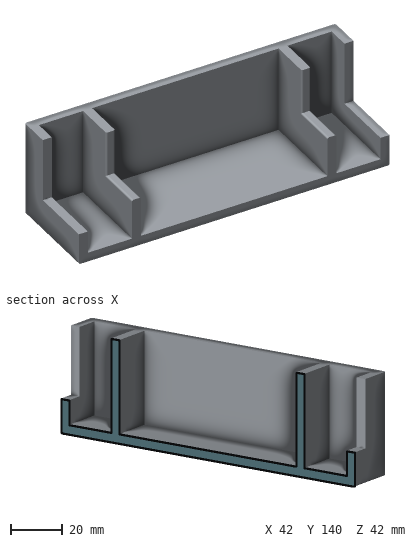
import cadquery as cq

LENGTH = 140.0
SIDE = 42.0
WALL = 4.0
EDGE_RADIUS = 0.77

END_WALL_DEPTH = 14.0
RIB_DEPTH = 22.0
RIB_INNER_FACE = 28.0


def l_plate(depth, y_start, thickness):
    """L-shaped plate with both legs of the given depth, extruded toward +Y."""
    outline = [
        (0, 0),
        (SIDE, 0),
        (SIDE, depth),
        (depth, depth),
        (depth, SIDE),
        (0, SIDE),
    ]
    plate = cq.Workplane("XZ").polyline(outline).close().extrude(-thickness)
    return plate.translate((0, y_start, 0))


def make_rib(y_start):
    """Inner partition with rounded edges along its exposed L-shaped rim."""
    rib = l_plate(RIB_DEPTH, y_start, WALL)
    rim_start = RIB_DEPTH - EDGE_RADIUS
    rim_end = SIDE - EDGE_RADIUS
    rim = cq.selectors.BoxSelector(
        (rim_start, y_start - EDGE_RADIUS, rim_start),
        (rim_end, y_start + WALL + EDGE_RADIUS, rim_end),
    )
    return rib.edges(rim).edges("|X or |Z").fillet(EDGE_RADIUS)


def build_part():
    """Back wall and floor with end walls and ribs, rounded along the outer edges."""
    part = l_plate(WALL, 0, LENGTH)
    for y_start in (0, LENGTH - WALL):
        part = part.union(l_plate(END_WALL_DEPTH, y_start, WALL))
    for y_start in (RIB_INNER_FACE - WALL, LENGTH - RIB_INNER_FACE):
        part = part.union(make_rib(y_start))
    part = part.clean()
    end_edges = "((<Y or >Y) and ((<X and |Z) or (<Z and |X)))"
    return part.edges(f"{end_edges} or (<X and <Z)").fillet(EDGE_RADIUS)


result = build_part()